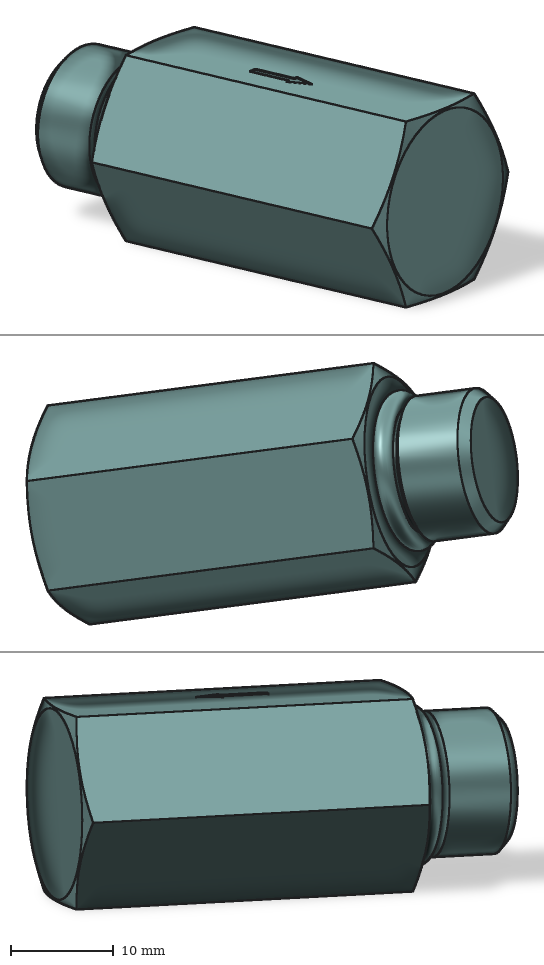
import cadquery as cq
import math

total_length = 45.2
x_axis = ((0, 0, 0), (1, 0, 0))
hex_start = 9.85
hex_length = total_length - hex_start

across_flats = 19.05
across_corners = across_flats / math.cos(math.radians(30))
hex_face_diameter = 18.65
hex_chamfer_angle = 20.0

plug_diameter = 14.3
tip_diameter = 12.3
tip_chamfer = (plug_diameter - tip_diameter) / 2
plug_land_end = 7.25
groove_diameter = 12.3
groove_chamfer_angle = 60.0
groove_chamfer = (plug_diameter - groove_diameter) / 2 / math.tan(math.radians(groove_chamfer_angle))
groove_start = plug_land_end + groove_chamfer

ring_section = 1.95
ring_outer_diameter = 15.8
ring_centre_x = hex_start - ring_section / 2
ring_centre_radius = (ring_outer_diameter - ring_section) / 2

arrow_tail_x = 23.05
arrow_neck_x = 27.8
arrow_tip_x = 30.3
arrow_centre_y = -1.7
arrow_shaft_width = 0.9
arrow_head_width = 1.7
arrow_depth = 0.1


def make_hexagon():
    """Hexagonal prism along X with corners on +Y and -Y, coned off at both ends."""
    prism = (
        cq.Workplane("YZ")
        .workplane(offset=hex_start)
        .polygon(6, across_corners)
        .extrude(hex_length)
    )
    face_radius = hex_face_diameter / 2
    corner_radius = across_corners / 2
    corner_chamfer = (corner_radius - face_radius) * math.tan(math.radians(hex_chamfer_angle))
    envelope = (
        cq.Workplane("XY")
        .moveTo(hex_start, 0)
        .lineTo(hex_start, face_radius)
        .lineTo(hex_start + corner_chamfer, corner_radius)
        .lineTo(total_length - corner_chamfer, corner_radius)
        .lineTo(total_length, face_radius)
        .lineTo(total_length, 0)
        .close()
        .revolve(360, *x_axis)
    )
    return prism.intersect(envelope)


def make_plug():
    """Round plug with a chamfered tip and a neck for the seal ring."""
    return (
        cq.Workplane("XY")
        .lineTo(0, tip_diameter / 2)
        .lineTo(tip_chamfer, plug_diameter / 2)
        .lineTo(plug_land_end, plug_diameter / 2)
        .lineTo(groove_start, groove_diameter / 2)
        .lineTo(hex_start, groove_diameter / 2)
        .lineTo(hex_start, 0)
        .close()
        .revolve(360, *x_axis)
    )


def make_arrow():
    """Arrow-shaped cutter that points along +X and ends at the top flat."""
    shaft_half = arrow_shaft_width / 2
    head_half = arrow_head_width / 2
    return (
        cq.Workplane("XY", origin=(0, arrow_centre_y, across_flats / 2))
        .moveTo(arrow_tail_x, -shaft_half)
        .lineTo(arrow_neck_x, -shaft_half)
        .lineTo(arrow_neck_x, -head_half)
        .lineTo(arrow_tip_x, 0)
        .lineTo(arrow_neck_x, head_half)
        .lineTo(arrow_neck_x, shaft_half)
        .lineTo(arrow_tail_x, shaft_half)
        .close()
        .extrude(-arrow_depth)
    )


def make_seal_ring():
    """O-ring of round section around the X axis."""
    return (
        cq.Workplane("XY")
        .moveTo(ring_centre_x, ring_centre_radius)
        .circle(ring_section / 2)
        .revolve(360, *x_axis)
    )


seal_ring = make_seal_ring()

body = make_hexagon().union(make_plug()).cut(make_arrow()).cut(seal_ring)

result = cq.Compound.makeCompound([body.solids().val(), seal_ring.solids().val()])